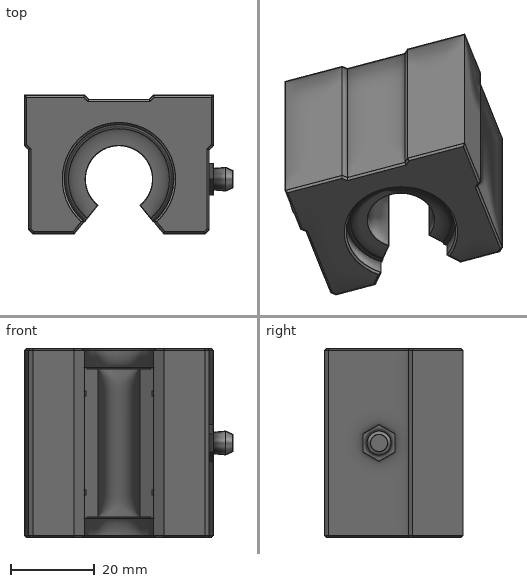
import cadquery as cq
import math


height = 45.0
width = 45.0
depth = 33.0
axis_to_front = 13.0
side_relief = 1.0
relief_start_y = 8.0
front_chamfer = 1.0
back_groove_half_width = 8.2
back_groove_depth = 1.0
rim_chamfer = 0.5
bore_radius = 13.0
housing_slot_half_angle = math.radians(39.4)

bearing_length = 36.05
bearing_slot_half_angle = math.radians(39)
shaft_radius = 8.0
end_rounding = 0.5
end_recess_radius = 12.0
end_recess_depth = 0.45
ring_groove_radius = 12.45
ring_groove_width = 1.3
ring_groove_span = 24.85

overall_x = 49.65
hex_across_flats = 7.55
hex_thickness = 1.0
neck_radius = 2.6
head_radius = 2.85
tip_radius = 2.05
tip_length = 1.75

half_width = width / 2
front_half_width = half_width - side_relief
back_y = depth - axis_to_front
front_y = -axis_to_front


def slot_wedge(half_angle):
    """Wedge from the bore axis toward -Y, reaching past the front and both ends."""
    reach = 2 * axis_to_front
    spread = reach * math.tan(half_angle)
    return (
        cq.Workplane("XY")
        .polyline([(0, 0), (-spread, -reach), (spread, -reach)])
        .close()
        .extrude(height, both=True)
    )


def make_housing():
    right_half = [
        (back_groove_half_width - back_groove_depth, back_y - back_groove_depth),
        (back_groove_half_width, back_y),
        (half_width, back_y),
        (half_width, relief_start_y),
        (front_half_width, relief_start_y - side_relief),
        (front_half_width, front_y + front_chamfer),
        (front_half_width - front_chamfer, front_y),
    ]
    left_half = [(-x, y) for x, y in reversed(right_half)]
    block = (
        cq.Workplane("XY")
        .workplane(offset=-height / 2)
        .polyline(right_half + left_half)
        .close()
        .extrude(height)
    )
    bore = cq.Workplane("XY").circle(bore_radius).extrude(height, both=True)
    opened = block.cut(bore).cut(slot_wedge(housing_slot_half_angle))
    return opened.faces("|Z").edges().chamfer(rim_chamfer)


def ring_groove(center_z):
    return (
        cq.Workplane("XY")
        .workplane(offset=center_z - ring_groove_width / 2)
        .circle(bore_radius)
        .circle(ring_groove_radius)
        .extrude(ring_groove_width)
    )


def end_recess(end):
    """Shallow round recess in the top (end = 1) or bottom (end = -1) face."""
    return (
        cq.Workplane("XY")
        .workplane(offset=end * bearing_length / 2)
        .circle(end_recess_radius)
        .extrude(-end * end_recess_depth)
    )


def make_bearing():
    bearing = (
        cq.Workplane("XY")
        .workplane(offset=-bearing_length / 2)
        .circle(bore_radius)
        .extrude(bearing_length)
        .edges()
        .fillet(end_rounding)
    )
    groove_offset = (ring_groove_span - ring_groove_width) / 2
    for end in (1, -1):
        bearing = bearing.cut(ring_groove(end * groove_offset))
        bearing = bearing.cut(end_recess(end))
    shaft_hole = cq.Workplane("XY").circle(shaft_radius).extrude(height, both=True)
    return bearing.cut(shaft_hole).cut(slot_wedge(bearing_slot_half_angle))


def make_nipple():
    seat_x = front_half_width
    neck_x = seat_x + hex_thickness
    tip_x = overall_x - half_width
    head_x = tip_x - tip_length
    hexagon = (
        cq.Workplane("YZ")
        .workplane(offset=seat_x)
        .polygon(6, hex_across_flats, circumscribed=True)
        .extrude(hex_thickness)
    )
    head_profile = [
        (neck_x, 0),
        (neck_x, neck_radius),
        (head_x, head_radius),
        (tip_x, tip_radius),
        (tip_x, 0),
    ]
    head = cq.Workplane("XZ").polyline(head_profile).close().revolve(360, (0, 0), (1, 0))
    return hexagon.union(head)


housing = make_housing()
bearing = make_bearing()
nipple = make_nipple()

result = cq.Compound.makeCompound([body.solids().val() for body in (housing, bearing, nipple)])